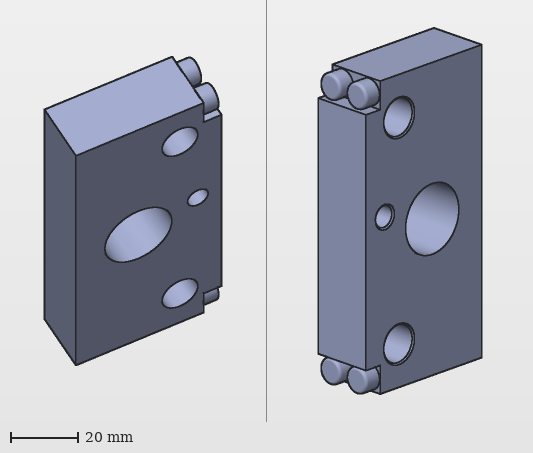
import cadquery as cq
thickness = 20.0
width = 49.0
height = 99.5

notch_depth = 6.0
notch_height = 9.1
seat_y = width - notch_depth

head_diameter = 8.5
head_length = 5.6
head_edge_radius = 1.0
screw_x = 5.5
screw_z = 45.2

bore_diameter = 22.5
bore_y = 21.0

mount_diameter = 12.0
mount_entry_diameter = 13.0
mount_y = 35.0
mount_z = 36.0

small_diameter = 6.92
small_entry_diameter = 8.0
small_y = 41.0
small_z = 6.0


def make_block():
    """Rectangular block with its -Y face on Y = 0, centred in X and Z."""
    return cq.Workplane("XY").box(thickness, width, height, centered=(True, False, True))


def make_notch(side):
    """Full-thickness corner cut at the +Y edge; side is +1 for the top, -1 for the bottom."""
    centre_y = seat_y + notch_depth / 2
    centre_z = side * (height - notch_height) / 2
    return cq.Workplane("XY").box(thickness, notch_depth, notch_height).translate((0, centre_y, centre_z))


def make_screw_head(x, z):
    """Cylindrical head standing on the notch seat, with a rounded outer edge."""
    head = cq.Workplane("XZ", origin=(x, seat_y, z)).circle(head_diameter / 2).extrude(-head_length)
    return head.faces(">Y").edges().fillet(head_edge_radius)


def make_hole(diameter, y, z):
    """Cylinder through the full thickness, parallel to X."""
    return cq.Workplane("YZ", origin=(-thickness / 2, y, z)).circle(diameter / 2).extrude(thickness)


def make_chamfered_hole(diameter, entry_diameter, y, z):
    """Through hole with a 45 degree countersink on the -X face."""
    chamfer = (entry_diameter - diameter) / 2
    countersink = cq.Solid.makeCone(
        entry_diameter / 2,
        diameter / 2,
        chamfer,
        pnt=cq.Vector(-thickness / 2, y, z),
        dir=cq.Vector(1, 0, 0),
    )
    return make_hole(diameter, y, z).union(cq.Workplane(countersink))


result = make_block()

for side in (1, -1):
    result = result.cut(make_notch(side))
    for x in (-screw_x, screw_x):
        result = result.union(make_screw_head(x, side * screw_z))

result = result.cut(make_hole(bore_diameter, bore_y, 0))
for z in (-mount_z, mount_z):
    result = result.cut(make_chamfered_hole(mount_diameter, mount_entry_diameter, mount_y, z))
result = result.cut(make_chamfered_hole(small_diameter, small_entry_diameter, small_y, small_z))